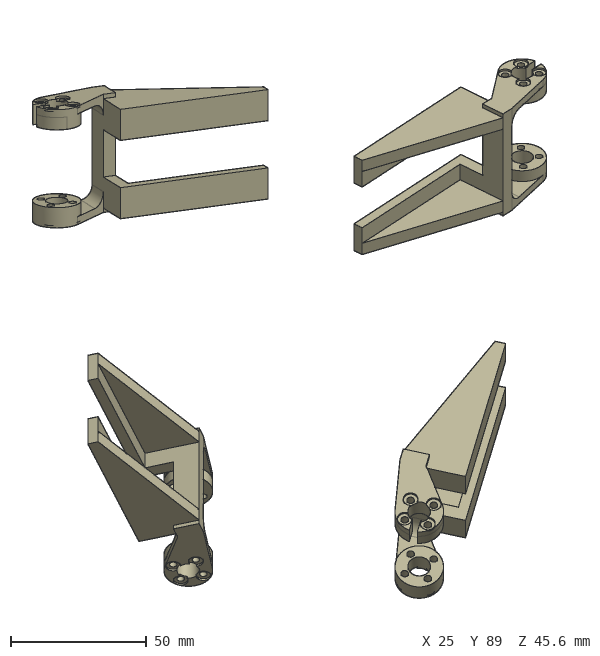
import cadquery as cq
import math

WIDTH = 25.0
LENGTH = 89.0
HEIGHT = 45.6

SPINE_WIDTH = 10.0
SPINE_DEPTH = 5.0
SPINE_FRONT = 29.0
SPINE_BACK = SPINE_FRONT + SPINE_DEPTH

RING_RADIUS = 9.0
RING_X = 12.5
RING_Y = RING_RADIUS
RING_HEIGHT = 7.8
PLATE_THICKNESS = 3.0
CORNER_RADIUS = 5.0
BORE_DIAMETER = 8.3
SCREW_SPACING = 8.8
SCREW_DIAMETER = 2.8
COUNTERBORE_DIAMETER = 5.4
COUNTERBORE_DEPTH = 0.8
SLOT_WIDTH = 3.0

ARM_INSET = 1.7
ARM_HEIGHT = 12.0
WEB_THICKNESS = 5.1
RAIL_WIDTH = 4.0
FRONT_BAR_DEPTH = SPINE_DEPTH

MIDDLE_Z = HEIGHT / 2


def tangent_point(x, y, side):
    """Point where a line from (x, y) touches the ring; side +1 or -1 picks the tangent."""
    dx = x - RING_X
    dy = y - RING_Y
    angle = math.atan2(dy, dx) + side * math.acos(RING_RADIUS / math.hypot(dx, dy))
    return RING_X + RING_RADIUS * math.cos(angle), RING_Y + RING_RADIUS * math.sin(angle)


def box(x0, x1, y0, y1, z0, z1):
    """Block between opposite corners."""
    return cq.Workplane("XY").box(x1 - x0, y1 - y0, z1 - z0, centered=False).translate((x0, y0, z0))


def make_yoke():
    """Spine and both hinge plates, with a rounded opening between the plates."""
    outline = (
        cq.Workplane("XY")
        .moveTo(SPINE_WIDTH, SPINE_BACK)
        .lineTo(0, SPINE_BACK)
        .lineTo(0, SPINE_FRONT)
        .lineTo(*tangent_point(0, SPINE_FRONT, 1))
        .threePointArc(
            (RING_X, RING_Y - RING_RADIUS),
            tangent_point(SPINE_WIDTH, SPINE_FRONT, -1),
        )
        .lineTo(SPINE_WIDTH, SPINE_FRONT)
        .close()
        .extrude(HEIGHT)
    )
    opening = box(
        0, WIDTH, -CORNER_RADIUS, SPINE_FRONT, PLATE_THICKNESS, HEIGHT - PLATE_THICKNESS
    )
    return outline.cut(opening.edges("|X and >Y").fillet(CORNER_RADIUS))


def make_ring():
    """Lower hinge ring."""
    return cq.Workplane("XY").center(RING_X, RING_Y).circle(RING_RADIUS).extrude(RING_HEIGHT)


def make_arm():
    """Lower arm, with its web facing down and its recess facing up."""
    bottom = ARM_INSET
    top = bottom + ARM_HEIGHT
    arm = (
        cq.Workplane("XY", origin=(0, 0, bottom))
        .polyline([
            (0, SPINE_FRONT),
            (WIDTH, SPINE_FRONT),
            (WIDTH, LENGTH),
            (WIDTH - RAIL_WIDTH, LENGTH),
            (0, SPINE_BACK),
        ])
        .close()
        .extrude(ARM_HEIGHT)
    )
    recess = box(
        0, WIDTH - RAIL_WIDTH, SPINE_FRONT + FRONT_BAR_DEPTH, LENGTH, bottom + WEB_THICKNESS, top
    )
    spine_space = box(0, SPINE_WIDTH, SPINE_FRONT, SPINE_BACK, bottom, top)
    return arm.cut(recess).cut(spine_space)


def make_holes():
    """Ring bore and four screw holes, counterbored from the bottom face."""
    ring_plane = cq.Workplane("XY").center(RING_X, RING_Y)
    bore = ring_plane.circle(BORE_DIAMETER / 2).extrude(RING_HEIGHT)
    screws = (
        ring_plane.rect(SCREW_SPACING, SCREW_SPACING, forConstruction=True)
        .vertices()
        .circle(SCREW_DIAMETER / 2)
        .extrude(RING_HEIGHT)
    )
    counterbores = (
        ring_plane.rect(SCREW_SPACING, SCREW_SPACING, forConstruction=True)
        .vertices()
        .circle(COUNTERBORE_DIAMETER / 2)
        .extrude(COUNTERBORE_DEPTH)
    )
    return bore.union(screws).union(counterbores)


def with_upper_copy(lower):
    """Add the mirror image of a lower feature across the middle height."""
    return lower.union(lower.mirror("XY", (0, 0, MIDDLE_Z)))


slot = box(
    RING_X - SLOT_WIDTH / 2, RING_X + SLOT_WIDTH / 2, 0, RING_Y, HEIGHT - RING_HEIGHT, HEIGHT
)

result = (
    make_yoke()
    .union(with_upper_copy(make_ring()))
    .union(with_upper_copy(make_arm()))
    .cut(with_upper_copy(make_holes()))
    .cut(slot)
)